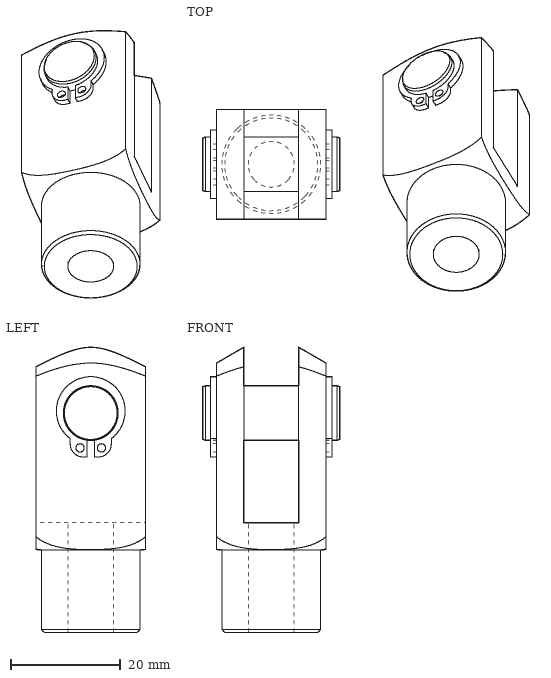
import cadquery as cq
import math

height = 52.0
fork_width = 20.0
half_width = fork_width / 2
corner_radius = half_width * math.sqrt(2)

neck_diameter = 18.0
neck_height = 15.05
neck_chamfer = 0.5
bore_diameter = 8.35

slot_width = 10.0
slot_floor = 20.0

top_slope = math.radians(30)
shoulder_fillet = 6.65
envelope_margin = 0.5

pin_diameter = 10.0
pin_end_diameter = 9.6
pin_length = 25.0
pin_chamfer_length = 0.5
pin_height = 40.0

ring_diameter = 12.55
ring_offset = 0.35
ring_thickness = 1.1
lug_half_width = 3.75
lug_depth = 8.0
lug_corner_radius = 2.4
lug_gap = 1.4
lug_hole_diameter = 1.5
lug_hole_spacing = 3.9
lug_hole_depth = 6.35


def make_turned_envelope():
    """Revolved profile that shapes the conical top and the rounded shoulder."""
    outer_radius = corner_radius + envelope_margin
    neck_radius = neck_diameter / 2
    middle_radius = (neck_radius + outer_radius) / 2
    top_radius = slot_width / 2
    cone_base = height - (outer_radius - top_radius) * math.tan(top_slope)
    arc_center = neck_height + shoulder_fillet

    def shoulder_point(radius):
        offset = radius - neck_radius
        return radius, arc_center - math.sqrt(shoulder_fillet**2 - offset**2)

    return (
        cq.Workplane("XZ")
        .moveTo(0, neck_height)
        .lineTo(neck_radius, neck_height)
        .threePointArc(shoulder_point(middle_radius), shoulder_point(outer_radius))
        .lineTo(outer_radius, cone_base)
        .lineTo(top_radius, height)
        .lineTo(0, height)
        .close()
        .revolve(360, (0, 0, 0), (0, 1, 0))
    )


def make_fork():
    block = (
        cq.Workplane("XY", origin=(0, 0, neck_height))
        .rect(fork_width, fork_width)
        .extrude(height - neck_height)
        .intersect(make_turned_envelope())
    )
    neck = (
        cq.Workplane("XY")
        .circle(neck_diameter / 2)
        .extrude(neck_height)
        .faces("<Z")
        .chamfer(neck_chamfer)
    )
    slot = (
        cq.Workplane("XY", origin=(0, 0, slot_floor))
        .rect(slot_width, fork_width)
        .extrude(height - slot_floor)
    )
    bore = cq.Workplane("XY").circle(bore_diameter / 2).extrude(slot_floor)
    return block.union(neck).cut(slot).cut(bore)


def make_pin():
    half_length = pin_length / 2
    pin_radius = pin_diameter / 2
    end_radius = pin_end_diameter / 2
    straight_end = half_length - pin_chamfer_length
    return (
        cq.Workplane("XY")
        .moveTo(-half_length, 0)
        .lineTo(-half_length, end_radius)
        .lineTo(-straight_end, pin_radius)
        .lineTo(straight_end, pin_radius)
        .lineTo(half_length, end_radius)
        .lineTo(half_length, 0)
        .close()
        .revolve(360, (0, 0, 0), (1, 0, 0))
        .translate((0, 0, pin_height))
    )


def make_ring(start_x):
    """Retaining ring with two drilled lugs, running from start_x toward +X."""
    plane = cq.Workplane("YZ", origin=(start_x, 0, pin_height))
    disc = plane.center(0, ring_offset).circle(ring_diameter / 2).extrude(ring_thickness)
    lugs = (
        plane.center(0, -lug_depth / 2)
        .rect(2 * lug_half_width, lug_depth)
        .extrude(ring_thickness)
        .edges("|X and <Z")
        .fillet(lug_corner_radius)
    )
    gap = plane.center(0, -lug_depth / 2).rect(lug_gap, lug_depth).extrude(ring_thickness)
    half_spacing = lug_hole_spacing / 2
    holes = (
        plane.pushPoints([(side * half_spacing, -lug_hole_depth) for side in (-1, 1)])
        .circle(lug_hole_diameter / 2)
        .extrude(ring_thickness)
    )
    return disc.union(lugs).cut(gap).cut(holes)


result = make_fork().union(make_pin())
for ring_start in (-half_width - ring_thickness, half_width):
    result = result.union(make_ring(ring_start))